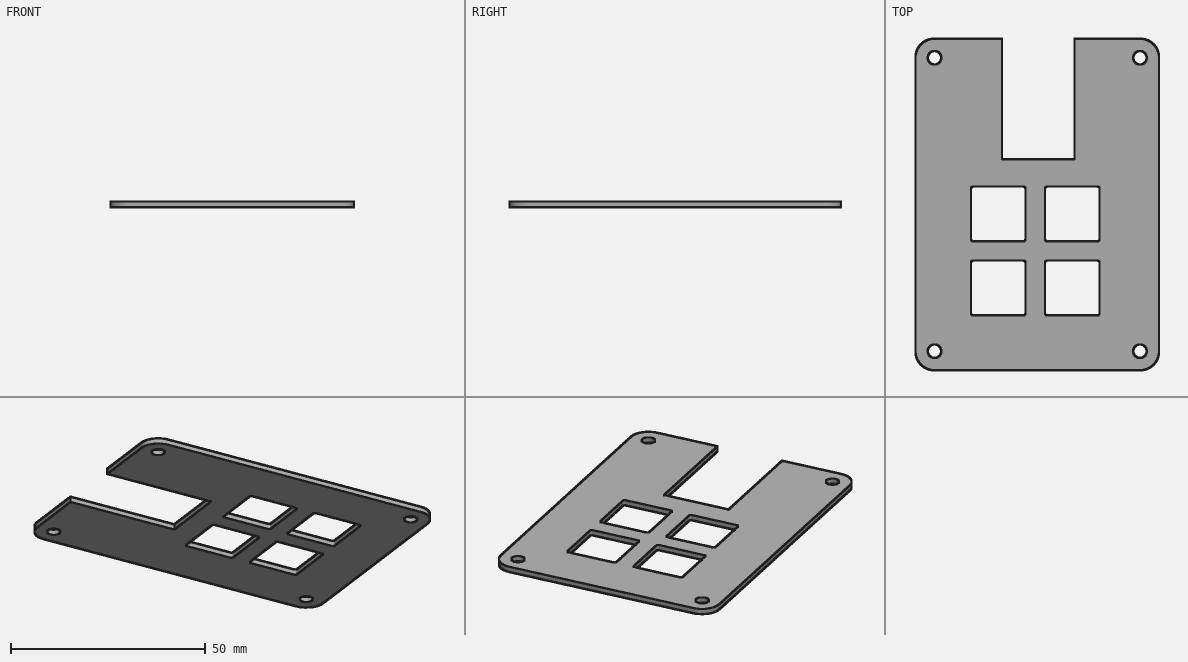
import cadquery as cq

width = 62.8
length = 85.5
thickness = 1.5
corner_radius = 5.0

hole_diameter = 3.4

slot_width = 18.55
slot_depth = 31.0
slot_center_x = 0.25

window_size = 14.0
window_radius = 0.5
window_pitch = 19.1
grid_center_x = -0.5
grid_center_y = -12.0


def make_plate():
    plate = cq.Workplane("XY").box(width, length, thickness)
    return plate.edges("|Z").fillet(corner_radius)


def make_mounting_holes():
    return (
        cq.Workplane("XY")
        .rect(width - 2 * corner_radius, length - 2 * corner_radius, forConstruction=True)
        .vertices()
        .circle(hole_diameter / 2)
        .extrude(thickness, both=True)
    )


def make_slot():
    return (
        cq.Workplane("XY")
        .center(slot_center_x, length / 2 - slot_depth / 2)
        .rect(slot_width, slot_depth)
        .extrude(thickness, both=True)
    )


def make_windows():
    windows = (
        cq.Workplane("XY")
        .center(grid_center_x, grid_center_y)
        .rarray(window_pitch, window_pitch, 2, 2)
        .rect(window_size, window_size)
        .extrude(thickness, both=True)
    )
    return windows.edges("|Z").fillet(window_radius)


result = make_plate().cut(make_mounting_holes()).cut(make_slot()).cut(make_windows())